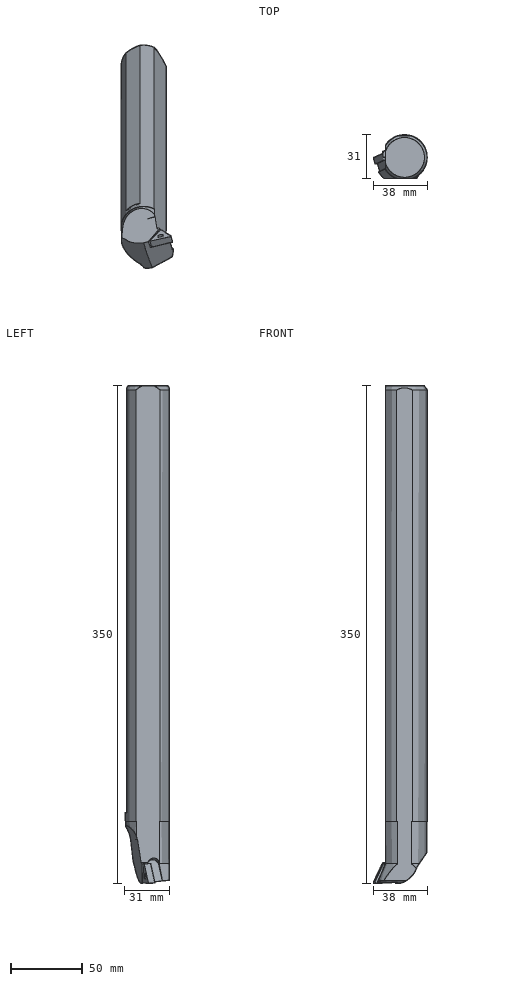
import cadquery as cq
import math


bar_length = 350.0
shank_radius = 16.0
end_chamfer_radial = 3.0
end_chamfer_height = 2.0
head_radius = 15.75
head_length = 43.7
clamp_flat_offset = 15.0
back_flat_end = 50.0
side_flat_offset = 13.5

flare_start = 14.0
flare_slope = 0.43
flare_top = 15.0
nose_bevel_bottom = (9.0, 12.0)
nose_bevel_top = (16.0, 22.3)
nose_arc_middle = (5.4, 5.6)
nose_arc_end = (-3.5, 0.0)
bottom_height = 0.7
bottom_slope = 0.11

chip_face_offset = 6.0
chip_slope_x = 0.20
chip_slope_z = 0.14
chip_flat_end = 31.0
chip_runout_radius = 16.0
chip_runout_angle = 60.0

gullet_offset = 5.8
gullet_slope_x = 0.25
gullet_slope_z = 0.16
gullet_top = chip_flat_end

tip_reach = 21.98
insert_edge = 16.5
insert_thickness = 4.76
insert_hole_diameter = 3.81
insert_nose_radius = 0.8
insert_slope_x = 0.27
insert_slope_z = 0.09
insert_corner_angle = 60.0
bottom_edge_angle = 3.0
lead_overhang = 0.8

lead_slot_width = 8.0
lead_slot_length = 13.8
lead_slot_center_depth = 1.9
pocket_overrun = 4.0
pocket_opening = 14.0

margin = 60.0


def cylinder(radius, bottom, top):
    return cq.Workplane("XY", origin=(0, 0, bottom)).circle(radius).extrude(top - bottom)


def box_between(low, high):
    size = [b - a for a, b in zip(low, high)]
    return cq.Workplane("XY").box(*size, centered=False).translate(low)


edge_angle = math.radians(bottom_edge_angle)
insert_plane = cq.Plane(
    origin=(insert_nose_radius - tip_reach, 0, insert_nose_radius),
    xDir=(
        math.cos(edge_angle),
        insert_slope_x * math.cos(edge_angle) + insert_slope_z * math.sin(edge_angle),
        math.sin(edge_angle),
    ),
    normal=(-insert_slope_x, 1, -insert_slope_z),
)
corner_x = -insert_nose_radius * math.sqrt(3)
corner_y = insert_nose_radius
insert_height = insert_edge * math.sqrt(3) / 2


def triangle(corner, edge):
    """Equilateral triangle in the insert frame, pointing its first corner at the tip."""
    x, y = corner
    points = [(x, y), (x + edge, y), (x + edge / 2, y - edge * math.sqrt(3) / 2)]
    return cq.Workplane(insert_plane).polyline(points).close()


def make_insert():
    body = triangle((corner_x, corner_y), insert_edge).extrude(-insert_thickness)
    corner_edges = cq.selectors.ParallelDirSelector(insert_plane.zDir)
    body = body.edges(corner_edges).fillet(insert_nose_radius)
    center = (corner_x + insert_edge / 2, corner_y - insert_height / 3)
    hole = (
        cq.Workplane(insert_plane)
        .center(*center)
        .circle(insert_hole_diameter / 2)
        .extrude(-insert_thickness)
    )
    return body.cut(hole)


def insert_pocket():
    """Seat open on the lead and bottom sides, walled along the insert's inner edge."""
    corner = (corner_x - 1.5 * pocket_overrun, corner_y + pocket_overrun * math.sqrt(3) / 2)
    pocket_edge = insert_edge + 2 * pocket_overrun
    above = triangle(corner, pocket_edge).extrude(pocket_opening)
    below = triangle(corner, pocket_edge).extrude(-insert_thickness)
    return above.union(below)


def lead_slot():
    """Round-ended slot along the lead edge that relieves the bar below the insert."""
    lead_face = (
        cq.Workplane(insert_plane, origin=insert_plane.toWorldCoords((corner_x, corner_y, 0)))
        .transformed(rotate=(0, 0, -insert_corner_angle))
        .transformed(offset=(0, lead_overhang, -insert_thickness - lead_slot_center_depth))
        .transformed(rotate=(90, 0, 0))
    )
    half_width = lead_slot_width / 2
    return (
        lead_face.moveTo(-margin, -half_width)
        .lineTo(lead_slot_length, -half_width)
        .threePointArc((lead_slot_length + half_width, 0), (lead_slot_length, half_width))
        .lineTo(-margin, half_width)
        .close()
        .extrude(margin)
    )


def gullet_clearance():
    """Slightly steeper plane that sinks the chip face around the insert."""
    plane = cq.Plane(
        origin=(0, gullet_offset, 0),
        xDir=(1, gullet_slope_x, 0),
        normal=(-gullet_slope_x, 1, -gullet_slope_z),
    )
    above = cq.Workplane(plane).rect(2 * margin, 2 * margin).extrude(margin)
    return above.intersect(box_between((-margin, -margin, -margin), (margin, margin, gullet_top)))


def chip_clearance():
    """Material removed above the chip face, with a rounded run-out at its upper end."""
    plane = cq.Plane(
        origin=(0, chip_face_offset, 0),
        xDir=(-chip_slope_x * chip_slope_z, chip_slope_z, 1 + chip_slope_x**2),
        normal=(-1, -chip_slope_x, 0),
    )
    angle = math.radians(chip_runout_angle)

    def on_arc(a):
        return (
            chip_flat_end + chip_runout_radius * math.sin(a),
            chip_runout_radius * (1 - math.cos(a)),
        )

    return (
        cq.Workplane(plane)
        .moveTo(-margin, 0)
        .lineTo(chip_flat_end, 0)
        .threePointArc(on_arc(angle / 2), on_arc(angle))
        .lineTo(on_arc(angle)[0], margin)
        .lineTo(-margin, margin)
        .close()
        .extrude(margin, both=True)
    )


def nose_profile():
    """Bar outline in XZ: bevel and arc opposite the tip, extruded across the bar."""
    return (
        cq.Workplane("XZ")
        .moveTo(-margin, nose_arc_end[1])
        .lineTo(*nose_arc_end)
        .threePointArc(nose_arc_middle, nose_bevel_bottom)
        .lineTo(*nose_bevel_top)
        .lineTo(nose_bevel_top[0], bar_length)
        .lineTo(-margin, bar_length)
        .close()
        .extrude(margin, both=True)
    )


def bottom_clearance():
    """Everything below the bottom face, which rises toward -Y."""
    plane = cq.Plane(origin=(0, 0, bottom_height), xDir=(1, 0, 0), normal=(0, bottom_slope, 1))
    return cq.Workplane(plane).rect(2 * margin, 2 * margin).extrude(-margin)


def flare():
    """Cone that widens from the head radius down to the tip."""
    def radius_at(z):
        return head_radius + flare_slope * (flare_start - z)

    cone = cq.Solid.makeCone(radius_at(0), radius_at(flare_top), flare_top)
    return cq.Workplane("XY").add(cone)


def make_bar():
    shank = cylinder(shank_radius, head_length, bar_length)
    shank = shank.faces(">Z").chamfer(end_chamfer_radial, end_chamfer_height)
    body = shank.union(cylinder(head_radius, 0, head_length))
    side_flat = box_between((-margin, -margin, 0), (-side_flat_offset, margin, bar_length))
    back_flat = box_between((-margin, clamp_flat_offset, back_flat_end), (margin, margin, bar_length))
    front_flat = box_between((-margin, -margin, 0), (margin, -clamp_flat_offset, bar_length))
    body = body.cut(side_flat).cut(back_flat)
    body = body.union(flare()).cut(front_flat)
    body = body.intersect(nose_profile())
    body = body.cut(bottom_clearance())
    body = body.cut(lead_slot())
    body = body.cut(chip_clearance())
    body = body.cut(gullet_clearance())
    return body.cut(insert_pocket())


bar = make_bar()
insert = make_insert()
result = cq.Compound.makeCompound([*bar.solids().vals(), *insert.solids().vals()])